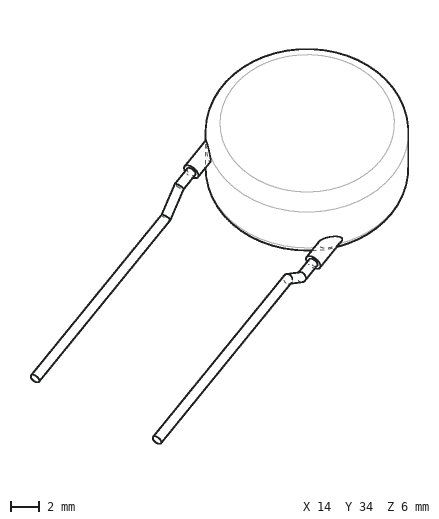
import cadquery as cq

disc_diameter = 14.0
disc_height = 6.0
disc_edge_radius = 1.0
disc_radius = disc_diameter / 2

overall_length = 34.0
lead_diameter = 0.7
lead_pitch = 10.0
lead_offset = 1.63
exit_length = 1.53
bend_run = 1.7

sleeve_diameter = 1.2

sleeve_end_y = -disc_radius
first_bend_y = sleeve_end_y - exit_length
second_bend_y = first_bend_y - bend_run
lead_tip_y = disc_radius - overall_length

lead_exits = [
    (-lead_pitch / 2, lead_offset),
    (lead_pitch / 2, -lead_offset),
]


def facing_minus_y(x, y, z):
    """Workplane at the given point whose normal points along -Y."""
    return cq.Workplane("XZ", origin=(x, y, z))


def make_sleeve(x, z):
    """Cylinder from inside the disc out to the level of its rim."""
    return facing_minus_y(x, 0, z).circle(sleeve_diameter / 2).extrude(disc_radius)


def make_housing():
    """Rounded disc with one sleeve of the same coating around each lead exit."""
    housing = (
        cq.Workplane("XY", origin=(0, 0, -disc_height / 2))
        .circle(disc_radius)
        .extrude(disc_height)
        .faces("<Z or >Z")
        .edges()
        .fillet(disc_edge_radius)
    )
    for x, z in lead_exits:
        housing = housing.union(make_sleeve(x, z))
    return housing


def make_lead(x, z):
    """Round wire with two mitred bends, from the sleeve end face to its tip."""
    path = cq.Workplane("YZ", origin=(x, 0, 0)).polyline([
        (sleeve_end_y, z),
        (first_bend_y, z),
        (second_bend_y, 0),
        (lead_tip_y, 0),
    ])
    profile = facing_minus_y(x, sleeve_end_y, z).circle(lead_diameter / 2)
    return profile.sweep(path, transition="right")


housing = make_housing()
leads = [make_lead(x, z) for x, z in lead_exits]

result = cq.Compound.makeCompound([housing.val(), *[lead.val() for lead in leads]])